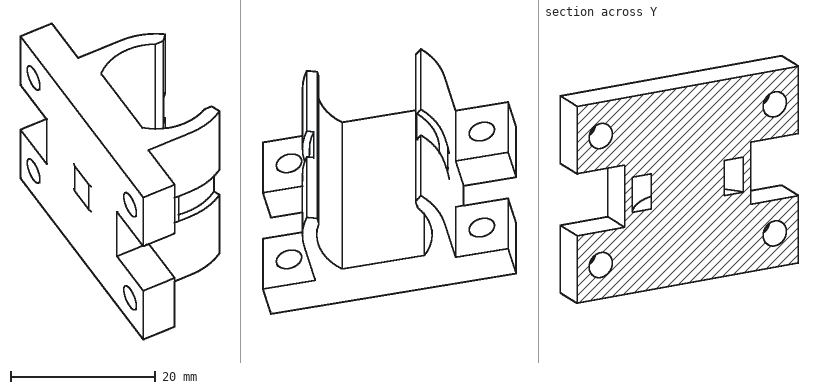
import cadquery as cq
import math

plate_width = 34.9
plate_height = 29.0
plate_thickness = 5.0
hole_diameter = 3.6
hole_spacing_x = 27.43
hole_spacing_z = 19.0
notch_height = 9.07

bore_radius = 8.0
clip_radius = 9.98
clip_center_y = 11.75
bore_floor_y = 6.3
mouth_half_width = 7.0
left_tip_x = -8.0
left_lip_y = 16.82
right_tip_x = 8.38
right_lip_y = 16.68

channel_height = 5.1
channel_inner_radius = 9.0
channel_bend_center_y = 9.77
channel_top_y = 19.2


def y_on_circle(radius, x):
    """Y of the upper point at x on a circle about the clip axis."""
    return clip_center_y + math.sqrt(radius**2 - x**2)


def centered_sketch(height):
    """XY workplane from which an extrusion of this height is centered on Z = 0."""
    return cq.Workplane("XY").workplane(offset=-height / 2)


def make_plate():
    plate = cq.Workplane("XY").box(plate_width, plate_thickness, plate_height)
    notch_depth = plate_width / 2 - clip_radius
    for side in (-1, 1):
        notch_x = side * (plate_width - notch_depth) / 2
        notch = cq.Workplane("XY").box(notch_depth, plate_thickness, notch_height)
        plate = plate.cut(notch.translate((notch_x, 0, 0)))
    plate = (
        plate.faces("<Y").workplane(centerOption="CenterOfBoundBox")
        .rarray(hole_spacing_x, hole_spacing_z, 2, 2)
        .hole(hole_diameter)
    )
    return plate.translate((0, plate_thickness / 2, 0))


def make_clip():
    floor_half_width = math.sqrt(bore_radius**2 - (clip_center_y - bore_floor_y)**2)
    left_tip = (left_tip_x, y_on_circle(clip_radius, left_tip_x))
    right_tip = (right_tip_x, y_on_circle(clip_radius, right_tip_x))
    lip_base_y = y_on_circle(bore_radius, mouth_half_width)

    def outer_arc_middle(tip_x):
        tip_angle = math.acos(abs(tip_x) / clip_radius)
        x = math.copysign(clip_radius * math.cos(tip_angle / 2), tip_x)
        return x, y_on_circle(clip_radius, x)

    return (
        centered_sketch(plate_height)
        .moveTo(-clip_radius, 0)
        .lineTo(clip_radius, 0)
        .lineTo(clip_radius, clip_center_y)
        .threePointArc(outer_arc_middle(right_tip_x), right_tip)
        .lineTo(mouth_half_width, right_lip_y)
        .lineTo(mouth_half_width, lip_base_y)
        .threePointArc((bore_radius, clip_center_y), (floor_half_width, bore_floor_y))
        .lineTo(-floor_half_width, bore_floor_y)
        .threePointArc((-bore_radius, clip_center_y), (-mouth_half_width, lip_base_y))
        .lineTo(-mouth_half_width, left_lip_y)
        .lineTo(*left_tip)
        .threePointArc(outer_arc_middle(left_tip_x), (-clip_radius, clip_center_y))
        .close()
        .extrude(plate_height)
    )


def make_strap_channel():
    envelope = (
        centered_sketch(channel_height)
        .moveTo(-clip_radius, channel_bend_center_y)
        .threePointArc((0, channel_bend_center_y - clip_radius), (clip_radius, channel_bend_center_y))
        .lineTo(clip_radius, channel_top_y)
        .lineTo(-clip_radius, channel_top_y)
        .close()
        .extrude(channel_height)
    )
    core = (
        centered_sketch(channel_height)
        .center(0, clip_center_y)
        .moveTo(-channel_inner_radius, 0)
        .threePointArc((0, -channel_inner_radius), (channel_inner_radius, 0))
        .threePointArc((0, channel_inner_radius), (-channel_inner_radius, 0))
        .close()
        .extrude(channel_height)
    )
    return envelope.cut(core, clean=False)


result = make_plate().union(make_clip()).cut(make_strap_channel(), clean=False)